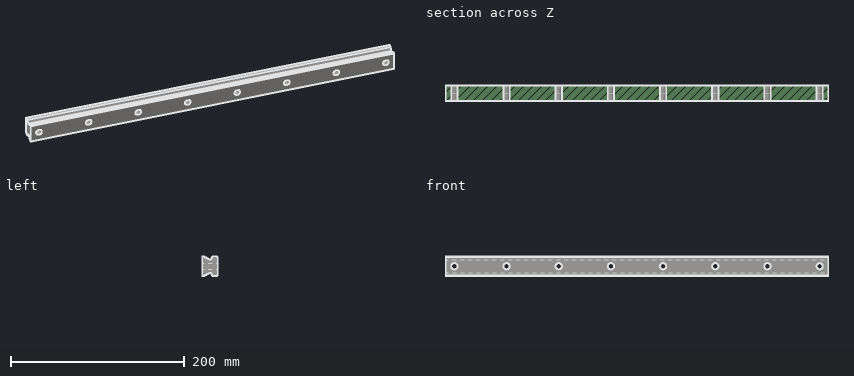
import cadquery as cq
import math

LENGTH = 440.0
HEIGHT = 18.0
WIDTH = 23.0

HOLE_DIAMETER = 7.0
HOLE_PITCH = 60.0
HOLE_COUNT = 8

TRACK_WIDTH = 2.2
TRACK_RADIUS = 2.0
FLOOR_START = 8.8
FLOOR_WIDTH = 1.1
GROOVE_DEPTH = 3.8
HEAD_FLANK_ANGLE = 30.0
BASE_FLANK_ANGLE = 60.0

HEAD_CHAMFER = 0.5
BASE_CHAMFER = 1.3

HALF_HEIGHT = HEIGHT / 2
HALF_WIDTH = WIDTH / 2


def section_point(from_head, depth):
    """Point in the YZ plane, given by its distance from the head and depth below the +Z side."""
    return (HALF_HEIGHT - from_head, HALF_WIDTH - depth)


def groove_cutter():
    """V groove along the +Z side, with a ball track scooped from the mouth of its head-side flank."""
    head_slope = math.tan(math.radians(HEAD_FLANK_ANGLE))
    base_slope = math.tan(math.radians(BASE_FLANK_ANGLE))
    floor_end = FLOOR_START + FLOOR_WIDTH
    head_mouth = FLOOR_START - GROOVE_DEPTH / head_slope
    base_mouth = floor_end + GROOVE_DEPTH / base_slope
    track_end = section_point(head_mouth + TRACK_WIDTH, TRACK_WIDTH * head_slope)
    return (
        cq.Workplane("YZ")
        .moveTo(*section_point(head_mouth, 0))
        .radiusArc(track_end, TRACK_RADIUS)
        .lineTo(*section_point(FLOOR_START, GROOVE_DEPTH))
        .lineTo(*section_point(floor_end, GROOVE_DEPTH))
        .lineTo(*section_point(base_mouth, 0))
        .close()
        .extrude(LENGTH / 2, both=True)
    )


def mounting_holes():
    """Row of through holes along the rail, running in Y."""
    return (
        cq.Workplane("XZ")
        .rarray(HOLE_PITCH, 1, HOLE_COUNT, 1)
        .circle(HOLE_DIAMETER / 2)
        .extrude(HALF_HEIGHT, both=True)
    )


bar = (
    cq.Workplane("XY")
    .box(LENGTH, HEIGHT, WIDTH)
    .faces(">Y")
    .edges("|X")
    .chamfer(HEAD_CHAMFER)
    .faces("<Y")
    .edges("|X")
    .chamfer(BASE_CHAMFER)
)

upper_groove = groove_cutter()
lower_groove = upper_groove.mirror("XY")
result = bar.cut(upper_groove).cut(lower_groove).cut(mounting_holes())